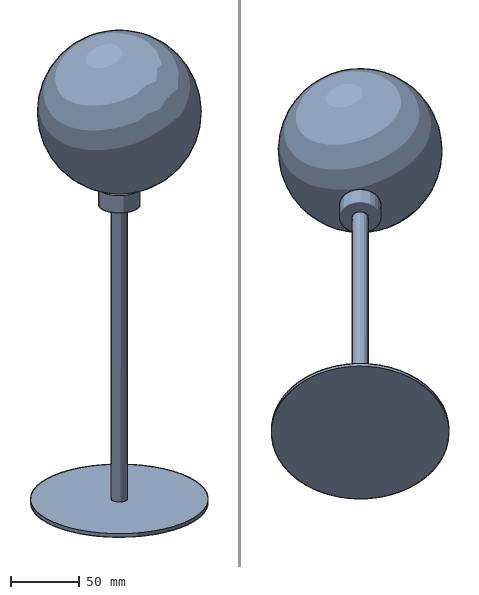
import cadquery as cq

total_height = 370.0
base_diameter = 130.0
base_thickness = 3.0
stem_diameter = 12.0
collar_diameter = 30.5
collar_bottom = 236.0
collar_edge_radius = 0.7
globe_diameter = 120.0

globe_center_height = total_height - globe_diameter / 2
collar_height = total_height - globe_diameter - collar_bottom
stem_length = collar_bottom - base_thickness


def make_base():
    """Thin round foot plate standing on Z = 0."""
    return cq.Workplane("XY").circle(base_diameter / 2).extrude(base_thickness)


def make_stem():
    """Straight round rod from the top of the base to the underside of the collar."""
    return cq.Workplane("XY", origin=(0, 0, base_thickness)).circle(stem_diameter / 2).extrude(stem_length)


def make_globe():
    """Spherical lamp globe."""
    return cq.Workplane("XY", origin=(0, 0, globe_center_height)).sphere(globe_diameter / 2)


def make_collar():
    """Flat-topped socket with a rounded lower rim, touching the lowest point of the globe."""
    return (
        cq.Workplane("XY", origin=(0, 0, collar_bottom))
        .circle(collar_diameter / 2)
        .extrude(collar_height)
        .faces("<Z")
        .edges()
        .fillet(collar_edge_radius)
    )


base = make_base()
stem = make_stem()
globe = make_globe()
collar = make_collar()

result = cq.Compound.makeCompound([base.val(), stem.val(), collar.val(), globe.val()])